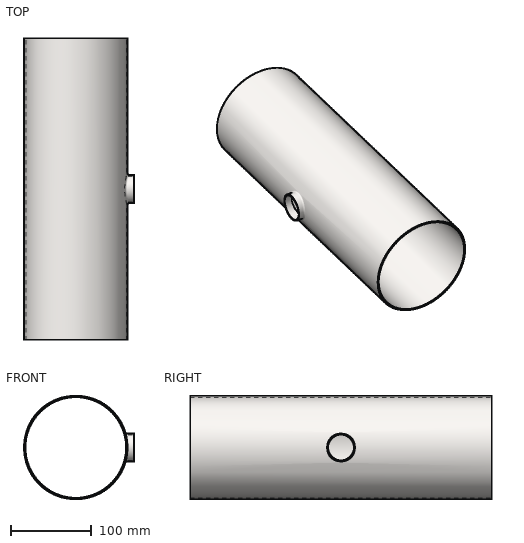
import cadquery as cq

pipe_length = 375.0
pipe_diameter = 129.0
pipe_bore = 125.0

overall_width = 137.0
branch_diameter = 35.0
branch_bore = 32.0
weld_radius = 2.0

pipe_radius = pipe_diameter / 2
branch_reach = overall_width - pipe_radius


def pipe_cylinder(diameter):
    """Solid cylinder along Y, centred on the origin."""
    return cq.Workplane("XZ").circle(diameter / 2).extrude(pipe_length / 2, both=True)


def branch_cylinder(diameter):
    """Solid cylinder along +X, from the pipe axis to the branch face."""
    return cq.Workplane("YZ").circle(diameter / 2).extrude(branch_reach)


outside = pipe_cylinder(pipe_diameter).union(branch_cylinder(branch_diameter))
seam_zone = cq.selectors.BoxSelector(
    (0, -branch_diameter, -branch_diameter),
    (branch_reach - weld_radius, branch_diameter, branch_diameter),
)
outside = outside.edges(seam_zone).fillet(weld_radius)

result = outside.cut(pipe_cylinder(pipe_bore)).cut(branch_cylinder(branch_bore))